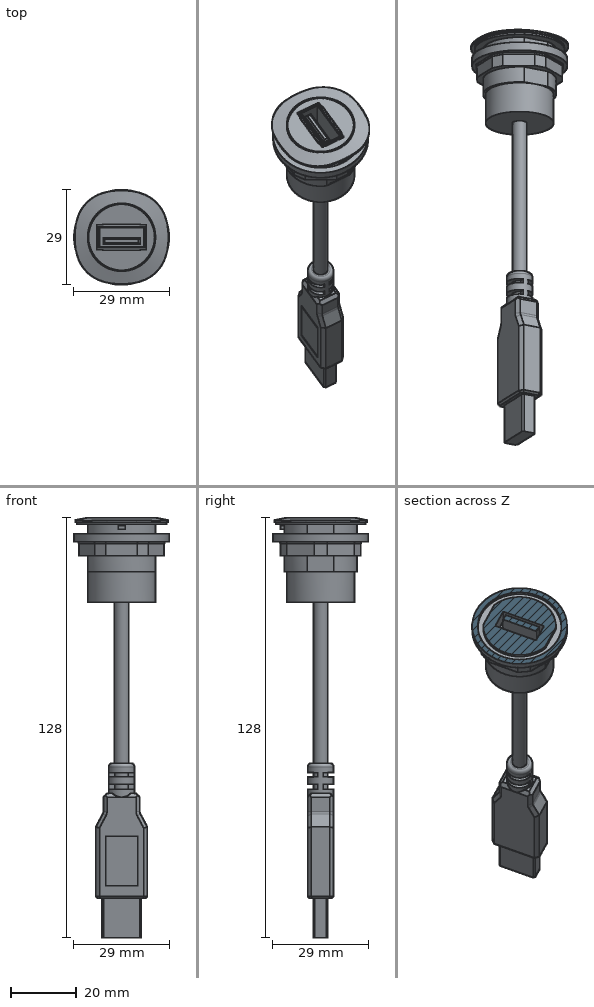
import cadquery as cq
import math

total_height = 128.0
plate_bottom = 126.6
seal_bottom = 126.0
ring_top = 123.1
ring_bottom = 120.6
nut_bottom = 116.4
thread_bottom = 111.5
housing_bottom = 102.1
relief_top = 53.2
grip_top = 44.0
grip_bottom = 12.0

disc_diameter = 20.1
disc_gap_diameter = 20.7
disc_gap_depth = 0.4
plate_side = 14.2
plate_diagonal = 15.0
plate_arc_end_x = 4.5
plate_arc_end_y = 13.8
plate_corner_top = 127.1
seal_diameter = 27.4
ring_diameter = 29.0
ring_recess_diameter = 25.3
ring_recess_depth = 1.5
thread_diameter = 22.3
housing_diameter = 20.7
nut_across_flats = 24.5
nut_across_corners = 26.0
nut_flare_height = 0.5
nut_flare_width = 0.3
peg_width = 2.2
peg_reach = 12.3
peg_top = 125.6
peg_height = 1.2

mouth_length = 15.0
mouth_width = 7.5
mouth_depth = 0.4
lip_length = 11.5
lip_width = 8.0
shell_wall = 0.4
cavity_length = 13.5
cavity_width = 5.8
cavity_depth = 10.2
tongue_length = 11.3
tongue_width = 2.0
tongue_y = -1.2
tongue_drop = 0.4
tongue_chamfer = 0.5

cable_diameter = 4.5
relief_diameter = 8.0
relief_fillet = 1.2
relief_rib_width = 1.7
relief_grooves = [(50.3, 1.3), (46.7, 1.4)]

grip_thickness = 8.0
grip_width = 15.7
grip_neck_width = 11.1
neck_bottom = 38.1
shoulder_bottom = 33.8
shoulder_fillet = 1.5
grip_chamfer = 1.2
grip_bottom_chamfer = 0.6
contact_width = 12.0
contact_thickness = 4.5
contact_chamfer = 0.5
label_width = 9.7
label_height = 15.1
label_z = 23.4
label_depth = 0.1


def cylinder(diameter, bottom, top):
    """Cylinder on the Z axis between two heights."""
    return cq.Workplane("XY").workplane(offset=bottom).circle(diameter / 2).extrude(top - bottom)


def block(x_size, y_size, bottom, top, y_centre=0.0):
    """Upright box centred on X = 0 between two heights."""
    sketch = cq.Workplane("XY").workplane(offset=bottom).center(0, y_centre)
    return sketch.rect(x_size, y_size).extrude(top - bottom)


def turned(x, y, quarters):
    """Point turned about the Z axis by a number of quarter turns."""
    angle = math.radians(90 * quarters)
    return (x * math.cos(angle) - y * math.sin(angle), x * math.sin(angle) + y * math.cos(angle))


def cover_plate():
    """Cover plate with four bulged sides, rounded corners and a slightly conical top."""
    diagonal = plate_diagonal / math.sqrt(2)
    outline = cq.Workplane("XY").workplane(offset=plate_bottom)
    outline = outline.moveTo(plate_arc_end_x, -plate_arc_end_y)
    for quarter in range(4):
        corner_middle = turned(diagonal, -diagonal, quarter)
        corner_end = turned(plate_arc_end_y, -plate_arc_end_x, quarter)
        side_middle = turned(plate_side, 0, quarter)
        side_end = turned(plate_arc_end_y, plate_arc_end_x, quarter)
        outline = outline.threePointArc(corner_middle, corner_end)
        outline = outline.threePointArc(side_middle, side_end)
    prism = outline.close().extrude(total_height - plate_bottom)
    cone = (
        cq.Workplane("XZ")
        .moveTo(0, plate_bottom)
        .lineTo(plate_diagonal, plate_bottom)
        .lineTo(plate_diagonal, plate_corner_top)
        .lineTo(disc_gap_diameter / 2, total_height)
        .lineTo(0, total_height)
        .close()
        .revolve(360, (0, 0), (0, 1))
    )
    gap_bottom = total_height - disc_gap_depth
    gap = cylinder(disc_gap_diameter, gap_bottom, total_height).cut(
        cylinder(disc_diameter, gap_bottom, total_height)
    )
    return prism.intersect(cone).cut(gap)


def hexagon(across_flats, across_corners, bottom, top):
    """Hexagonal prism with flats facing Y and its corners cut flat."""
    sharp_corners = across_flats / math.cos(math.radians(30))
    base = cq.Workplane("XY").workplane(offset=bottom)
    body = base.polygon(6, sharp_corners).extrude(top - bottom)
    corner_cutter = base.transformed(rotate=(0, 0, 30))
    cutter_corners = across_corners / math.cos(math.radians(30))
    return body.intersect(corner_cutter.polygon(6, cutter_corners).extrude(top - bottom))


def clamping_ring():
    """Flat ring with a shallow round recess in its top."""
    ring = cylinder(ring_diameter, ring_bottom, ring_top)
    return ring.cut(cylinder(ring_recess_diameter, ring_top - ring_recess_depth, ring_top))


def clamping_nut():
    """Hexagonal nut whose top flares out under the ring."""
    flare_bottom = ring_bottom - nut_flare_height
    nut = hexagon(nut_across_flats, nut_across_corners, nut_bottom, flare_bottom)
    flare_angle = math.degrees(math.atan(nut_flare_width / nut_flare_height))
    flare = nut.faces(">Z").wires().toPending().workplane(origin=(0, 0, flare_bottom))
    return flare.extrude(nut_flare_height, taper=-flare_angle)


def threaded_body():
    """Round neck with flats on both X sides, level with the housing."""
    neck = cylinder(thread_diameter, thread_bottom, seal_bottom)
    return neck.intersect(block(housing_diameter, thread_diameter, thread_bottom, seal_bottom))


def socket_opening():
    """Recessed mouth, the metal shell edge standing in it, and the cavity with its tongue left in."""
    mouth_bottom = total_height - mouth_depth
    mouth = block(mouth_length, mouth_width, mouth_bottom, total_height)
    mouth = mouth.union(block(lip_length, lip_width, mouth_bottom, total_height))
    shell = block(
        cavity_length + 2 * shell_wall, cavity_width + 2 * shell_wall, mouth_bottom, total_height
    )
    cavity_bottom = total_height - cavity_depth
    cavity = block(cavity_length, cavity_width, cavity_bottom, total_height)
    tongue = block(tongue_length, tongue_width, cavity_bottom, total_height - tongue_drop, tongue_y)
    tongue = tongue.faces(">Z").chamfer(tongue_chamfer)
    return mouth.cut(shell).union(cavity).cut(tongue)


def panel_socket():
    """Everything above the cable: cover plate, seal, neck with its peg, ring, nut and housing."""
    peg_bottom = peg_top - peg_height
    return (
        cover_plate()
        .union(cylinder(seal_diameter, seal_bottom, plate_bottom))
        .union(threaded_body())
        .union(block(peg_width, peg_reach, peg_bottom, peg_top, -peg_reach / 2))
        .union(clamping_ring())
        .union(clamping_nut())
        .union(cylinder(housing_diameter, housing_bottom, thread_bottom))
        .cut(socket_opening())
    )


def strain_relief():
    """Sleeve with ring grooves that leave the cable core and one rib on each X side."""
    sleeve = cylinder(relief_diameter, grip_top - grip_chamfer, relief_top)
    sleeve = sleeve.faces(">Z").edges().fillet(relief_fillet)
    for top, height in relief_grooves:
        groove = cylinder(relief_diameter, top - height, top)
        groove = groove.cut(cylinder(cable_diameter, top - height, top))
        groove = groove.cut(block(relief_diameter, relief_rib_width, top - height, top))
        sleeve = sleeve.cut(groove)
    return sleeve


def plug_grip():
    """Grip with a narrow neck, sloped shoulders, chamfered edges and a label recess in front."""
    half = grip_width / 2
    half_neck = grip_neck_width / 2
    outline = [
        (-half, grip_bottom),
        (half, grip_bottom),
        (half, shoulder_bottom),
        (half_neck, neck_bottom),
        (half_neck, grip_top),
        (-half_neck, grip_top),
        (-half_neck, neck_bottom),
        (-half, shoulder_bottom),
    ]
    grip = cq.Workplane("XZ").polyline(outline).close().extrude(grip_thickness / 2, both=True)
    inner_corners = cq.selectors.BoxSelector(
        (-half, -grip_thickness, neck_bottom - grip_chamfer / 2),
        (half, grip_thickness, neck_bottom + grip_chamfer / 2),
    )
    grip = grip.edges("|Y").edges(inner_corners).fillet(shoulder_fillet)
    front_and_back = grip.faces("<Y or >Y")
    grip = front_and_back.edges("not <Z").chamfer(grip_chamfer)
    grip = grip.faces(">Z").edges("<X or >X").chamfer(grip_chamfer)
    label_y = -(grip_thickness - label_depth) / 2
    label_bottom = label_z - label_height / 2
    label = block(label_width, label_depth, label_bottom, label_bottom + label_height, label_y)
    return grip.faces("<Z").chamfer(grip_bottom_chamfer).cut(label)


def contact_shell():
    """Rectangular contact shell with bevelled long edges."""
    shell = block(contact_width, contact_thickness, 0, grip_bottom)
    return shell.edges("|Z").chamfer(contact_chamfer)


cable = cylinder(cable_diameter, relief_top, housing_bottom)

result = panel_socket().union(cable).union(strain_relief()).union(plug_grip()).union(contact_shell())